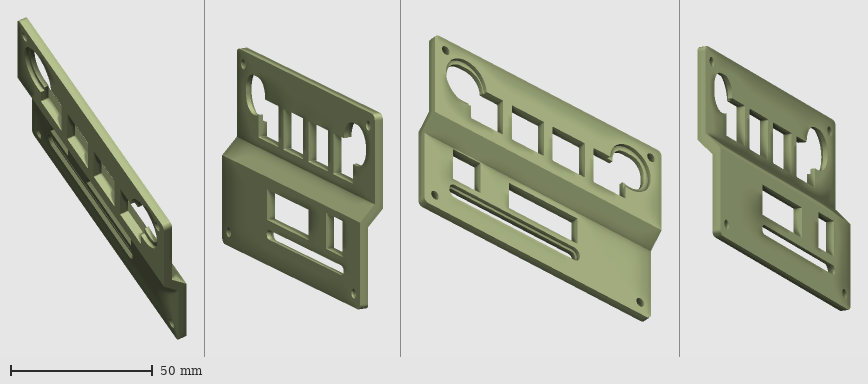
import cadquery as cq

width = 105.8
height = 70.5
depth = 9.0
corner_radius = 2.0

sheet_thickness = 3.2
step_back = depth - sheet_thickness
front_bend_low = 30.0
front_bend_high = 36.0
back_bend_rise = 2.0

screw_diameter = 3.5
screw_inset = 5.0

key_count = 4
key_pitch = 19.05
key_size = 15.0
key_corner_radius = 0.4
key_center_z = 49.1

recess_diameter = 19.0
recess_spacing = 76.6
recess_center_z = 56.2
recess_depth = 1.5

left_opening_center = (-37.75, 56.3)
left_opening_size = (16.9, 15.1)
left_opening_radius = 7.2
right_opening_center = (38.5, 56.3)
right_opening_size = (14.5, 14.4)
right_opening_radius = 5.9
right_opening_large_radius = 8.2

window_bottom_z = 16.4
small_window_size = (12.8, 13.1)
small_window_center_x = -33.1
wide_window_size = (31.9, 11.1)
wide_window_center_x = 2.6

slot_center = (-10.7, 11.3)
slot_length = 59.0
slot_width = 3.5
surround_margin = 1.0
surround_depth = 1.5


def front_plane(y):
    """Sketch plane at depth y with local x = X and local y = Z; a negative extrusion runs toward +Y."""
    return cq.Workplane("XZ", origin=(0, y, 0))


def make_sheet():
    profile = [
        (step_back, 0),
        (step_back, front_bend_low),
        (0, front_bend_high),
        (0, height),
        (sheet_thickness, height),
        (sheet_thickness, front_bend_high + back_bend_rise),
        (depth, front_bend_low + back_bend_rise),
        (depth, 0),
    ]
    sheet = cq.Workplane("YZ").polyline(profile).close().extrude(width / 2, both=True)
    return sheet.edges("|Y").fillet(corner_radius)


def rounded_cutter(center, size, radius):
    """Rounded-rectangle cutter that passes through the whole depth."""
    cutter = front_plane(0).center(*center).rect(*size).extrude(-depth)
    return cutter.edges("|Y").fillet(radius)


def cut_screw_holes(body):
    holes = (
        front_plane(0)
        .center(0, height / 2)
        .rect(width - 2 * screw_inset, height - 2 * screw_inset, forConstruction=True)
        .vertices()
        .circle(screw_diameter / 2)
        .extrude(-depth)
    )
    return body.cut(holes)


def cut_key_openings(body):
    for index in range(key_count):
        x = (index - (key_count - 1) / 2) * key_pitch
        body = body.cut(rounded_cutter((x, key_center_z), (key_size, key_size), key_corner_radius))
    return body


def right_opening_cutter():
    """Through cutter with one lower corner rounder than the other three."""
    cutter = front_plane(0).center(*right_opening_center).rect(*right_opening_size).extrude(-depth)
    cutter = cutter.faces("<X").edges("|Y and <Z").fillet(right_opening_large_radius)
    cutter = cutter.faces(">Z").edges("|Y").fillet(right_opening_radius)
    return cutter.faces(">X").edges("|Y and <Z").fillet(right_opening_radius)


def cut_recesses(body):
    centers = [(side * recess_spacing / 2, recess_center_z) for side in (-1, 1)]
    recesses = front_plane(0).pushPoints(centers).circle(recess_diameter / 2).extrude(-recess_depth)
    left_opening = rounded_cutter(left_opening_center, left_opening_size, left_opening_radius)
    return body.cut(recesses).cut(left_opening).cut(right_opening_cutter())


def cut_window(body, center_x, size):
    center_z = window_bottom_z + size[1] / 2
    window = front_plane(step_back).center(center_x, center_z).rect(*size).extrude(-sheet_thickness)
    return body.cut(window)


def cut_long_slot(body):
    start = front_plane(step_back).center(*slot_center)
    slot = start.slot2D(slot_length, slot_width).extrude(-sheet_thickness)
    surround = start.slot2D(
        slot_length + 2 * surround_margin,
        slot_width + 2 * surround_margin,
    ).extrude(-surround_depth)
    return body.cut(slot).cut(surround)


result = make_sheet()
result = cut_screw_holes(result)
result = cut_key_openings(result)
result = cut_recesses(result)
result = cut_window(result, small_window_center_x, small_window_size)
result = cut_window(result, wide_window_center_x, wide_window_size)
result = cut_long_slot(result)